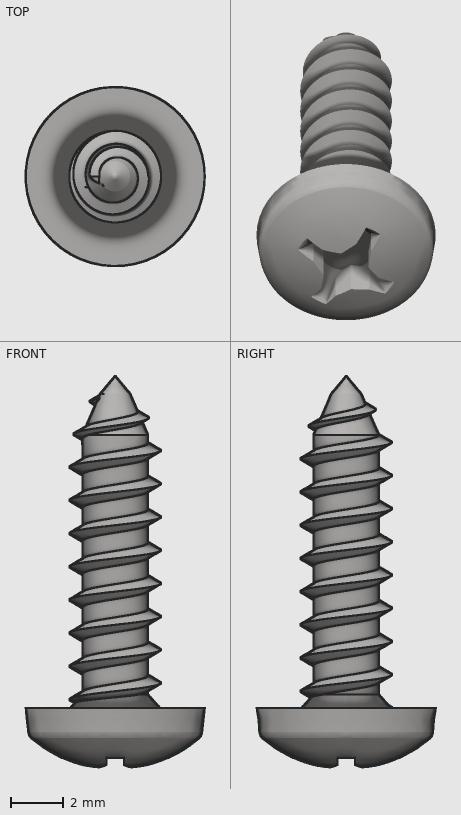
import cadquery as cq
import math


length = 12.7
core_radius = 1.26
neck_radius = 1.71
neck_height = 0.5
taper_length = 2.26
tip_length = 0.69
tip_radius = 0.58

head_radius = 3.43
head_edge_radius = 3.31
head_edge_fillet = 0.37
dome_radius = 4.9
dome_depth = 2.355

pitch = 1.27
crest_radius = 1.755
thread_angle = 60
flank_slope = math.tan(math.radians(thread_angle / 2))
root_overlap = 0.15
full_turns = 8
taper_turns = 1.25
runout_angle = 24
start_angle = 90
end_crest_radius = 0.97
end_root_radius = 0.5
runout_crest_radius = 0.65
points_per_turn = 24
fewest_steps = 4

wing_width = 0.66
wing_radius = 2.0
corner_offset = 0.62
corner_angle = 138
recess_depth = 1.6
recess_floor_radius = 1.1


def make_shank():
    return (
        cq.Workplane("XZ")
        .lineTo(neck_radius, 0)
        .lineTo(core_radius, neck_height)
        .lineTo(core_radius, length - taper_length)
        .lineTo(tip_radius, length - tip_length)
        .lineTo(0, length)
        .close()
        .revolve(360, (0, 0), (0, 1))
    )


def dome_z(radius):
    """Height of the domed face at a given distance from the axis."""
    return -dome_depth + dome_radius - math.sqrt(dome_radius**2 - radius**2)


def make_head():
    middle_radius = head_edge_radius / 2
    head = (
        cq.Workplane("XZ")
        .lineTo(head_radius, 0)
        .lineTo(head_edge_radius, dome_z(head_edge_radius))
        .threePointArc((middle_radius, dome_z(middle_radius)), (0, -dome_depth))
        .close()
        .revolve(360, (0, 0), (0, 1))
    )
    rim = cq.selectors.BoxSelector(
        (-head_radius, -head_radius, -dome_depth),
        (head_radius, head_radius, dome_z(head_edge_radius) / 2),
        boundingbox=True,
    )
    return head.edges("%CIRCLE").edges(rim).fillet(head_edge_fillet)


def recess_outline():
    """Cross outline: four parallel-sided wings joined by blunt corners."""
    half_width = wing_width / 2
    corner_direction = math.radians(45 + corner_angle / 2)
    wing_root = corner_offset + (half_width - corner_offset) * math.tan(corner_direction)
    quarter = [
        (wing_radius, half_width),
        (wing_root, half_width),
        (corner_offset, corner_offset),
        (half_width, wing_root),
        (half_width, wing_radius),
    ]
    points = []
    for turn in range(4):
        cosine = round(math.cos(turn * math.pi / 2))
        sine = round(math.sin(turn * math.pi / 2))
        points += [(x * cosine - y * sine, x * sine + y * cosine) for x, y in quarter]
    return points


def make_recess():
    """Cross whose wing ends slope inward to a flat floor."""
    mouth_z = dome_z(wing_radius)
    floor_z = recess_depth - dome_depth
    cross = (
        cq.Workplane("XY", origin=(0, 0, -dome_depth))
        .polyline(recess_outline())
        .close()
        .extrude(recess_depth)
    )
    envelope = (
        cq.Workplane("XZ")
        .moveTo(0, -dome_depth)
        .lineTo(wing_radius, -dome_depth)
        .lineTo(wing_radius, mouth_z)
        .lineTo(recess_floor_radius, floor_z)
        .lineTo(0, floor_z)
        .close()
        .revolve(360, (0, 0), (0, 1))
    )
    return cross.intersect(envelope)


def helix_edge(start_turn, end_turn, start_radius, end_radius, start_rise, end_rise):
    """Helix whose radius and offset from the crest height change evenly along it."""
    steps = max(fewest_steps, math.ceil((end_turn - start_turn) * points_per_turn))
    points = []
    for step in range(steps + 1):
        share = step / steps
        turn = start_turn + (end_turn - start_turn) * share
        radius = start_radius + (end_radius - start_radius) * share
        rise = start_rise + (end_rise - start_rise) * share
        angle = math.radians(start_angle) + 2 * math.pi * turn
        x = radius * math.cos(angle)
        y = radius * math.sin(angle)
        points.append(cq.Vector(x, y, pitch * turn + rise))
    return cq.Edge.makeSpline(points)


def thread_section(start_turn, end_turn, start_crest, end_crest, start_root, end_root):
    """V-shaped ridge, closed at the root and at both ends."""
    start_half = (start_crest - start_root) * flank_slope
    end_half = (end_crest - end_root) * flank_slope
    lower = helix_edge(start_turn, end_turn, start_root, end_root, -start_half, -end_half)
    crest = helix_edge(start_turn, end_turn, start_crest, end_crest, 0, 0)
    upper = helix_edge(start_turn, end_turn, start_root, end_root, start_half, end_half)
    edges = [lower, crest, upper]
    faces = [cq.Face.makeRuledSurface(edges[i - 1], edges[i]) for i in range(len(edges))]
    for position in (0, 1):
        corners = [edge.positionAt(position) for edge in edges]
        faces.append(cq.Face.makeFromWires(cq.Wire.makePolygon(corners, close=True)))
    solid = cq.Solid.makeSolid(cq.Shell.makeShell(faces))
    return cq.Workplane(solid.fix())


def make_thread():
    """Turns along the shank, then a shrinking taper and a short runout at the point."""
    taper_start = full_turns
    taper_end = taper_start + taper_turns
    runout_end = taper_end + runout_angle / 360
    root_radius = core_radius - root_overlap
    sections = [
        thread_section(turn, turn + 1, crest_radius, crest_radius, root_radius, root_radius)
        for turn in range(full_turns)
    ]
    sections.append(
        thread_section(taper_start, taper_end, crest_radius, end_crest_radius, root_radius, end_root_radius)
    )
    sections.append(
        thread_section(
            taper_end, runout_end, end_crest_radius, runout_crest_radius, end_root_radius, end_root_radius
        )
    )
    return sections


screw = make_head().union(make_shank()).cut(make_recess())
for section in make_thread():
    screw = screw.union(section)
result = cq.Workplane(screw.solids().val())